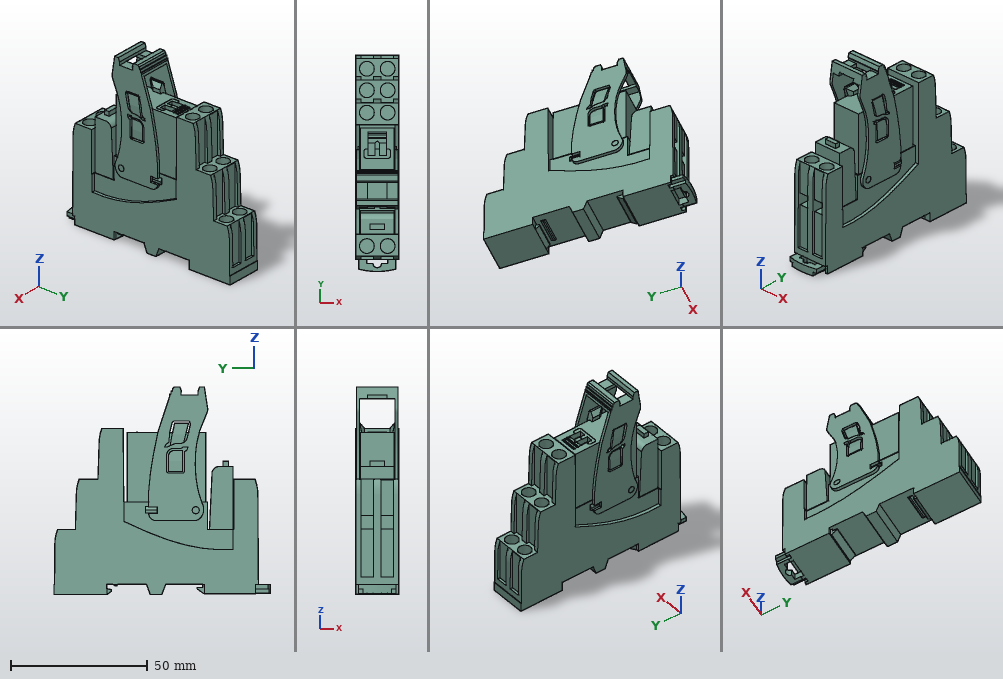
import cadquery as cq


BODY_HALF = 15.8 / 2
LEVER_HALF = 7.65
INNER_HALF = 6.45
RELAY_HALF = 6.2
FOOT_HALF = 6.8
FOOT_LOWER_HALF = 5.25
HOOK_HALF = 5.25
CLIP_HALF = 7.04

REAR_TOP_Z = 61.1
MID_TOP_Z = 42.4
LOW_TOP_Z = 24.0
SOCKET_TOP_Z = 34.1
RELAY_TOP_Z = 59.6
LEVER_TOP_Z = 76.3
RAIL_Z = 3.75
FRONT_SOLE_Z = 0.25
SHOULDER_DROP = 5.6

REAR_Y = 79.61
RAIL_REAR_Y = 60.1
RAIL_FRONT_Y = 24.3
HOOK_OVERLAP = 0.1
FRONT_FACE_Y = 4.45
FRONT_EDGE_Y = 5.7
FRONT_SOLE_Y = 5.5
FOOT_CHANNEL_Y = 6.8
TOWER_FRONT_Y = 54.1
SOCKET_REAR_Y = 53.9
SOCKET_FRONT_Y = 23.1
TERMINAL_REAR_Y = 13.6
RECESS_FRONT_Y = 13.8
TIER_EDGES = [(78.25, LOW_TOP_Z), (70.35, MID_TOP_Z), (62.0, REAR_TOP_Z)]

SCREW_X = 3.8
SCREW_DIA = 5.4
SCREW_DEPTH = 10.0
SCREW_Y_BY_TOP = [(74.5, LOW_TOP_Z), (66.6, MID_TOP_Z), (58.4, REAR_TOP_Z), (9.4, MID_TOP_Z)]
SLOT_X = 3.67
SLOT_WIDTH = 4.75
SLOT_FLOOR_Z = 6.4
SLOT_INSET = 0.08
WIRE_HOLE_Z = (24.1, 29.0)
WIRE_HOLE_DEPTH = 4.0


def block(x_range, y_range, z_range):
    """Box between the given limits on each axis."""
    size = [limits[1] - limits[0] for limits in (x_range, y_range, z_range)]
    corner = (x_range[0], y_range[0], z_range[0])
    return cq.Workplane("XY").box(*size, centered=False).translate(corner)


def centred_block(half_width, y_range, z_range):
    return block((-half_width, half_width), y_range, z_range)


def across(outline, half_width):
    """Extrude a closed Y-Z outline symmetrically across the width."""
    return outline.close().extrude(half_width, both=True)


def side_polygon(points, half_width):
    return across(cq.Workplane("YZ").polyline(points), half_width)


def mirrored(shape):
    """The shape together with its mirror image on the other side of X = 0."""
    return shape.union(shape.mirror("YZ"))


def body_profile():
    """Stepped side outline of the socket body with its rail recess and rail wedge."""
    shoulder_run = 1.05
    shoulder_bulge = shoulder_run / 4
    tier_feet = [(79.4, RAIL_Z), (71.75, LOW_TOP_Z), (63.45, MID_TOP_Z)]
    outline = (
        cq.Workplane("YZ")
        .moveTo(REAR_Y, 0)
        .lineTo(RAIL_REAR_Y, 0)
        .lineTo(RAIL_REAR_Y, RAIL_Z)
        .lineTo(45.6, RAIL_Z)
        .lineTo(44.25, 0)
        .lineTo(39.95, 0)
        .lineTo(38.5, RAIL_Z)
        .lineTo(RAIL_FRONT_Y, RAIL_Z)
        .lineTo(RAIL_FRONT_Y, FRONT_SOLE_Z)
        .lineTo(FRONT_SOLE_Y, FRONT_SOLE_Z)
        .lineTo(FRONT_SOLE_Y, RAIL_Z)
        .lineTo(FRONT_FACE_Y, RAIL_Z)
        .lineTo(FRONT_EDGE_Y - shoulder_run, MID_TOP_Z - SHOULDER_DROP)
        .threePointArc(
            (FRONT_EDGE_Y - shoulder_run / 2 - shoulder_bulge, MID_TOP_Z - SHOULDER_DROP / 2),
            (FRONT_EDGE_Y, MID_TOP_Z),
        )
        .lineTo(TERMINAL_REAR_Y, MID_TOP_Z)
        .lineTo(TERMINAL_REAR_Y, LOW_TOP_Z)
        .lineTo(SOCKET_FRONT_Y, LOW_TOP_Z)
        .lineTo(SOCKET_FRONT_Y, SOCKET_TOP_Z)
        .lineTo(SOCKET_REAR_Y, SOCKET_TOP_Z)
        .lineTo(TOWER_FRONT_Y, REAR_TOP_Z)
    )
    for (edge_y, top_z), foot in reversed(list(zip(TIER_EDGES, tier_feet))):
        outline = (
            outline.lineTo(edge_y, top_z)
            .threePointArc(
                (edge_y + shoulder_run / 2 + shoulder_bulge, top_z - SHOULDER_DROP / 2),
                (edge_y + shoulder_run, top_z - SHOULDER_DROP),
            )
            .lineTo(*foot)
        )
    return outline.lineTo(REAR_Y, RAIL_Z)


def side_recess():
    """Material removed beside the socket, down to a ledge that sweeps towards the front."""
    ledge_rear_z = 26.9
    ledge_front_z = 16.6
    outline = (
        cq.Workplane("YZ")
        .moveTo(SOCKET_REAR_Y, ledge_rear_z)
        .spline([(43.8, 22.4), (34.5, 19.1), (24.7, 17.0), (RECESS_FRONT_Y, ledge_front_z)],
                includeCurrent=True)
        .lineTo(RECESS_FRONT_Y, LOW_TOP_Z)
        .lineTo(SOCKET_FRONT_Y, LOW_TOP_Z)
        .lineTo(SOCKET_FRONT_Y, SOCKET_TOP_Z)
        .lineTo(SOCKET_REAR_Y, SOCKET_TOP_Z)
    )
    return across(outline, BODY_HALF).cut(
        centred_block(INNER_HALF, (0, REAR_Y), (0, LEVER_TOP_Z))
    )


def terminal_slots():
    """Vertical wire slots in the front and rear faces, two per tier."""
    past_front = 0
    front_slot = (past_front, FRONT_EDGE_Y - SLOT_INSET)
    wire_hole = (past_front, FRONT_EDGE_Y + WIRE_HOLE_DEPTH)
    slot_reach = 3.0
    slot_floors = [SLOT_FLOOR_Z, LOW_TOP_Z, MID_TOP_Z]
    x_range = (SLOT_X - SLOT_WIDTH / 2, SLOT_X + SLOT_WIDTH / 2)
    slots = block(x_range, front_slot, (SLOT_FLOOR_Z, MID_TOP_Z))
    slots = slots.union(block(x_range, wire_hole, WIRE_HOLE_Z))
    for (edge_y, top_z), floor_z in zip(TIER_EDGES, slot_floors):
        back_y = edge_y + SLOT_INSET
        slots = slots.union(block(x_range, (back_y, back_y + slot_reach), (floor_z, top_z)))
    return mirrored(slots)


def screw_holes():
    holes = None
    for y, top_z in SCREW_Y_BY_TOP:
        row = (
            cq.Workplane("XY", origin=(0, y, top_z - SCREW_DEPTH))
            .pushPoints([(-SCREW_X, 0), (SCREW_X, 0)])
            .circle(SCREW_DIA / 2)
            .extrude(SCREW_DEPTH)
        )
        holes = row if holes is None else holes.union(row)
    return holes


def rail_hooks():
    """Fixed rear hook, front spring hook and the small stop under the rail recess."""
    rear_wall_y = RAIL_REAR_Y + HOOK_OVERLAP
    front_wall_y = RAIL_FRONT_Y - HOOK_OVERLAP
    rear = side_polygon(
        [(rear_wall_y, 0), (RAIL_REAR_Y, 0), (58.5, 1.2), (58.5, 1.9),
         (RAIL_REAR_Y, 2.2), (rear_wall_y, 2.2)],
        HOOK_HALF,
    )
    front = side_polygon(
        [(front_wall_y, RAIL_Z), (25.0, RAIL_Z), (25.0, 2.65), (27.1, 2.65), (27.1, 2.2),
         (24.7, 0.4), (front_wall_y, 0.4)],
        FOOT_HALF,
    )
    stop = side_polygon([(58.0, RAIL_Z), (57.1, 3.2), (56.5, 3.2), (56.1, RAIL_Z)], HOOK_HALF)
    return rear.union(front).union(stop)


def release_foot():
    """Pull tab of the rail latch, with a bowed front edge."""
    tip_corner_y = 0.9
    sole_z = 0.45
    return (
        cq.Workplane("XY", origin=(0, 0, sole_z))
        .moveTo(-FOOT_HALF, FRONT_SOLE_Y)
        .lineTo(-FOOT_HALF, tip_corner_y)
        .threePointArc((0, 0), (FOOT_HALF, tip_corner_y))
        .lineTo(FOOT_HALF, FRONT_SOLE_Y)
        .close()
        .extrude(RAIL_Z - sole_z)
    )


def foot_openings():
    """Screwdriver opening and stepped underside of the foot, running on under the body."""
    step_z = 2.0
    opening_half = 3.85
    opening_front_y = 3.0
    notch_half = 1.55
    notch_tip_y = 1.5
    opening = (
        cq.Workplane("XY")
        .moveTo(-opening_half, FOOT_CHANNEL_Y)
        .lineTo(-opening_half, opening_front_y)
        .lineTo(-notch_half, opening_front_y)
        .threePointArc((0, notch_tip_y), (notch_half, opening_front_y))
        .lineTo(opening_half, opening_front_y)
        .lineTo(opening_half, FOOT_CHANNEL_Y)
        .close()
        .extrude(RAIL_Z)
    )
    side_step = block((FOOT_LOWER_HALF, FOOT_HALF), (0, FOOT_CHANNEL_Y), (0, step_z))
    return opening.union(mirrored(side_step))


def socket_body():
    front_notch_half = 1.05
    front_notch_depth = 0.7
    body = across(body_profile(), BODY_HALF)
    body = body.cut(side_recess()).cut(terminal_slots()).cut(screw_holes())
    body = body.cut(centred_block(front_notch_half, (SOCKET_FRONT_Y, SOCKET_FRONT_Y + front_notch_depth),
                                  (LOW_TOP_Z, SOCKET_TOP_Z)))
    return body.union(rail_hooks()).union(release_foot()).cut(foot_openings())


def relay():
    """Plug-in relay with a test button and a shallow finger recess in its top."""
    case_y = (23.8, 52.7)
    window_half = 3.4
    window_y = (47.3, 51.2)
    window_depth = 0.6
    leg_centre_x = 2.05
    leg_width = 2.6
    leg_front_y = 42.7
    leg_depth = 2.5
    finger_half = 4.85
    finger_y = (41.6, 45.1)
    finger_depth = 0.15
    finger_radius = 0.9
    ridge_y = 49.1
    ridge_width = 0.3
    ridge_rise = 0.2
    step_ys = [50.2, 50.7]
    step_height = 0.2
    tongue_point_y = 48.0
    top = RELAY_TOP_Z
    window_floor = top - window_depth
    to_top = (window_floor, top)

    case = centred_block(RELAY_HALF, case_y, (SOCKET_TOP_Z, top))
    finger = centred_block(finger_half, finger_y, (top - finger_depth, top))
    case = case.cut(finger.edges("|Z").fillet(finger_radius))
    case = case.cut(centred_block(window_half, window_y, to_top))
    leg_x = (leg_centre_x - leg_width / 2, leg_centre_x + leg_width / 2)
    leg = block(leg_x, (leg_front_y, window_y[0]), (top - leg_depth, top))
    case = case.cut(mirrored(leg))
    tongue_half = leg_x[0]
    tongue = (
        cq.Workplane("XY", origin=(0, 0, window_floor))
        .polyline([(-tongue_half, window_y[0]), (0, tongue_point_y), (tongue_half, window_y[0])])
        .close()
        .extrude(window_depth)
    )
    case = case.union(tongue)
    for level, step_y in enumerate(step_ys, start=1):
        step_top = window_floor + level * step_height
        case = case.union(centred_block(window_half, (step_y, window_y[1]), (window_floor, step_top)))
    ridge = centred_block(window_half, (ridge_y - ridge_width / 2, ridge_y + ridge_width / 2),
                          (window_floor, top + ridge_rise))
    return case.union(ridge)


def indicator_module():
    """Module behind the front terminals, with a leaning rear face and a small lens on top."""
    top_z = 47.1
    lens_top_z = 49.05
    lens_half = 2.6
    lens_y = (15.4, 17.5)
    outline = (
        cq.Workplane("YZ")
        .moveTo(RECESS_FRONT_Y, LOW_TOP_Z)
        .lineTo(22.5, LOW_TOP_Z)
        .lineTo(21.55, 45.0)
        .threePointArc((20.7, 46.35), (19.3, top_z))
        .lineTo(RECESS_FRONT_Y, top_z)
    )
    lens = centred_block(lens_half, lens_y, (top_z, lens_top_z))
    return across(outline, RELAY_HALF).union(lens)


def lever_profile():
    """Curved side outline of the retaining lever, with the finger notch at the top."""
    notch_floor_z = 73.35
    bottom_z = 27.2
    return (
        cq.Workplane("YZ")
        .moveTo(42.2, bottom_z)
        .threePointArc((44.0, 28.0), (44.8, 29.8))
        .lineTo(44.8, 38.0)
        .spline([(44.1, 45.0), (43.0, 51.8), (41.3, 60.1)], includeCurrent=True)
        .lineTo(37.1, 72.9)
        .lineTo(37.1, 73.6)
        .lineTo(36.7, 73.6)
        .lineTo(36.6, 74.7)
        .lineTo(36.2, 74.7)
        .lineTo(36.0, 75.7)
        .lineTo(35.4, LEVER_TOP_Z)
        .lineTo(33.3, LEVER_TOP_Z)
        .lineTo(32.7, 74.6)
        .lineTo(32.9, 74.2)
        .lineTo(32.9, notch_floor_z)
        .lineTo(26.7, notch_floor_z)
        .lineTo(26.7, 74.7)
        .lineTo(26.1, LEVER_TOP_Z)
        .lineTo(24.3, LEVER_TOP_Z)
        .lineTo(23.1, 68.4)
        .threePointArc((23.1, 67.7), (23.3, 66.9))
        .lineTo(26.0, 60.2)
        .spline([(27.4, 53.8), (27.7, 47.9), (26.9, 39.6), (25.0, 33.2)], includeCurrent=True)
        .spline([(24.6, 30.8), (25.6, 28.4), (27.6, bottom_z)], includeCurrent=True)
    )


def lever_windows():
    """Window openings in both arms; each frames a latching tab."""
    upper = (
        cq.Workplane("YZ")
        .moveTo(38.9, 54.3)
        .lineTo(38.5, 55.1)
        .lineTo(37.4, 56.0)
        .lineTo(37.0, 59.7)
        .lineTo(36.1, 63.2)
        .lineTo(35.5, 63.7)
        .lineTo(29.9, 63.7)
        .lineTo(29.5, 62.6)
        .lineTo(30.5, 58.2)
        .threePointArc((31.2, 56.5), (32.5, 55.6))
        .lineTo(35.3, 55.4)
        .lineTo(37.8, 54.3)
    )
    lower = (
        cq.Workplane("YZ")
        .moveTo(30.4, 54.2)
        .lineTo(32.0, 54.2)
        .lineTo(32.9, 53.75)
        .lineTo(35.9, 53.75)
        .threePointArc((37.5, 52.9), (38.3, 51.0))
        .lineTo(38.3, 45.2)
        .lineTo(37.6, 44.6)
        .lineTo(32.2, 44.6)
        .lineTo(31.6, 45.2)
        .lineTo(31.6, 52.5)
        .lineTo(30.7, 53.1)
    )
    return across(upper, BODY_HALF).union(across(lower, BODY_HALF))


def tab_section(points):
    """Solid running the full depth from an X-Z section, mirrored to both arms."""
    section = cq.Workplane("XZ").polyline(points).close().extrude(-REAR_Y)
    return mirrored(section)


def latching_tabs():
    """Tabs inside the arm windows, leaning inwards at the top to hold the relay."""
    root_x = RELAY_HALF - 0.1
    upper_outline = (
        cq.Workplane("YZ")
        .moveTo(35.3, 63.0)
        .lineTo(30.1, 63.0)
        .lineTo(31.9, 56.0)
        .lineTo(32.5, 55.5)
        .lineTo(35.4, 55.3)
        .lineTo(36.9, 54.7)
        .lineTo(36.2, 58.8)
    )
    lower_outline = (
        cq.Workplane("YZ")
        .moveTo(32.4, 52.9)
        .lineTo(35.9, 52.9)
        .threePointArc((37.0, 52.2), (37.5, 50.8))
        .lineTo(37.5, 45.3)
        .lineTo(32.4, 45.3)
    )
    face_x = LEVER_HALF - 0.05
    lean_x = LEVER_HALF - 0.45
    hook_x = 4.7
    hook_front_y = 30.0
    hook_tip_y = 32.5
    hook_tip_z = 61.2
    upper_base_z, upper_bend_z, upper_top_z = 54.5, 58.8, 63.1
    lower_base_z, lower_bend_z, lower_top_z = 45.0, 48.9, 53.0
    upper_section = tab_section(
        [(root_x, upper_base_z), (face_x, upper_base_z), (face_x, upper_bend_z), (lean_x, upper_top_z),
         (INNER_HALF, upper_top_z), (hook_x, hook_tip_z), (hook_x, RELAY_TOP_Z), (root_x, RELAY_TOP_Z)]
    )
    lower_section = tab_section(
        [(root_x, lower_base_z), (face_x, lower_base_z), (face_x, lower_bend_z),
         (lean_x, lower_top_z), (root_x, lower_top_z)]
    )
    upper = across(upper_outline, BODY_HALF).intersect(upper_section)
    lower = across(lower_outline, BODY_HALF).intersect(lower_section)
    tip_bevel = (
        cq.Workplane("XY", origin=(0, 0, RELAY_TOP_Z))
        .polyline([(INNER_HALF, hook_front_y), (hook_x, hook_front_y), (hook_x, hook_tip_y)])
        .close()
        .extrude(LEVER_TOP_Z - RELAY_TOP_Z)
    )
    return upper.cut(mirrored(tip_bevel)).union(lower)


def lever():
    """Two arms joined by a bridge at the top."""
    bridge_underside_z = 71.9
    opening_half = 3.57
    opening_y = (20.0, 32.9)
    opening_top_z = 73.4
    pin_centre = (27.5, 31.0)
    pin_radius = 1.3
    pin_half = LEVER_HALF + 0.1
    clip_notch_y = (41.5, 46.0)
    clip_notch_z = (29.8, 32.25)

    shape = across(lever_profile(), LEVER_HALF)
    shape = shape.cut(centred_block(INNER_HALF, (0, REAR_Y), (0, bridge_underside_z)))
    shape = shape.cut(centred_block(opening_half, opening_y, (bridge_underside_z, opening_top_z)))
    shape = shape.cut(lever_windows())
    shape = shape.cut(centred_block(LEVER_HALF, clip_notch_y, clip_notch_z))
    pin = cq.Workplane("YZ").center(*pin_centre).circle(pin_radius).extrude(pin_half, both=True)
    return shape.union(pin).union(latching_tabs())


def lever_clips():
    """Snap noses on the socket that engage the rear notch of each arm."""
    top_z = 32.4
    ridge_z = 31.1
    bottom_z = 30.0
    y_range = (41.7, 45.9)
    root_x = INNER_HALF - 0.1
    section = tab_section([(root_x, bottom_z), (CLIP_HALF, bottom_z),
                           (CLIP_HALF, ridge_z), (INNER_HALF, top_z), (root_x, top_z)])
    return section.intersect(centred_block(BODY_HALF, y_range, (bottom_z, top_z)))


result = (
    socket_body()
    .union(relay())
    .union(indicator_module())
    .union(lever())
    .union(lever_clips())
)